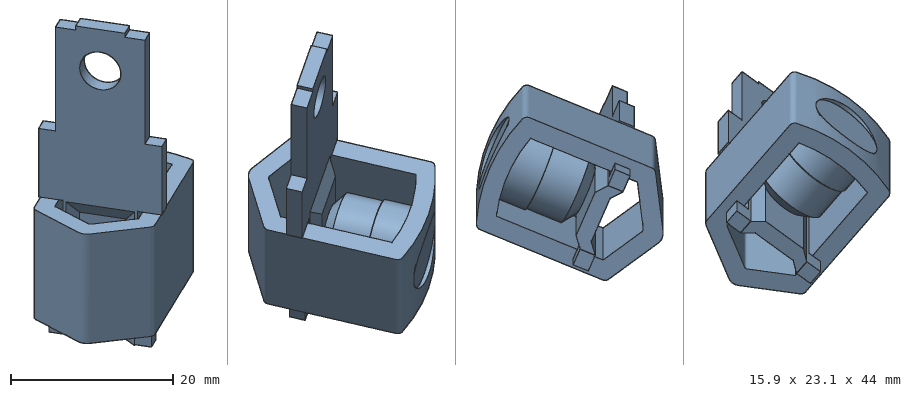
import cadquery as cq
import math


cage_width = 15.5
cage_bottom = 3.45
cage_top = 18.9
cage_front = -7.1
cage_back = 15.95
wall = 2.37
arch_radius = 21.5
v_angle = math.radians(30)
v_tip_radius = 1.6
v_inner_radius = 0.45
corner_radius = 0.8

plate_thickness = 2.02
shoulder_width = 15.87
shoulder_bottom = 19.05
shoulder_top = 28.7
tongue_width = 11.5
tongue_top = 43.4
tip_width = 6.35
plate_top = 43.95
neck_width = 9.6
ear_width = 13.2
ear_bottom = 0.15
ear_top = 3.2
hole_diameter = 5.28
hole_height = 38.12

press_depth = 1.15
press_mouth_width = 8.8
press_floor_width = 6.0
press_top_run = 1.85
groove_top = 18.9
bulge_top = 19.87

screw_radius = 4.8
screw_tip_radius = 3.08
screw_cone_length = 1.3
collar_radius = 5.0
collar_front = 9.25
screw_height = (cage_bottom + cage_top) / 2


def ring_outline(inset, tip_radius):
    """Cage cross-section, moved inward by inset with a rounded V tip, as a prism."""
    half_width = cage_width / 2 - inset
    radius = arch_radius - inset
    arch_crown = cage_back - inset
    arch_end = arch_crown - radius + math.sqrt(radius**2 - half_width**2)
    sharp_tip = cage_front - v_tip_radius * (1 / math.cos(v_angle) - 1)
    v_tip = sharp_tip + inset / math.cos(v_angle)
    v_end = v_tip + half_width * math.tan(v_angle)
    prism = (
        cq.Workplane("XY", origin=(0, 0, cage_bottom))
        .moveTo(0, v_tip)
        .lineTo(half_width, v_end)
        .lineTo(half_width, arch_end)
        .threePointArc((0, arch_crown), (-half_width, arch_end))
        .lineTo(-half_width, v_end)
        .close()
        .extrude(cage_top - cage_bottom)
    )
    return prism.edges("|Z and <Y").fillet(tip_radius)


def make_cage():
    outer = ring_outline(0, v_tip_radius)
    side_corners = outer.faces("<X or >X").edges("|Z")
    return side_corners.fillet(corner_radius).cut(ring_outline(wall, v_inner_radius))


def plate_strip(width, bottom, top):
    return cq.Workplane("XY").box(
        width, plate_thickness, top - bottom, centered=(True, False, False)
    ).translate((0, 0, bottom))


def press_shape(start_y, top):
    """Trapezoidal channel, narrowing toward +Y, with a sloped upper end."""
    end_y = start_y + press_depth
    channel = (
        cq.Workplane("XY")
        .moveTo(-press_mouth_width / 2, start_y)
        .lineTo(press_mouth_width / 2, start_y)
        .lineTo(press_floor_width / 2, end_y)
        .lineTo(-press_floor_width / 2, end_y)
        .close()
        .extrude(top)
    )
    side_profile = (
        cq.Workplane("YZ")
        .moveTo(start_y, 0)
        .lineTo(end_y, 0)
        .lineTo(end_y, top - press_top_run)
        .lineTo(start_y, top)
        .close()
        .extrude(press_mouth_width / 2, both=True)
    )
    return channel.intersect(side_profile)


def make_plate():
    plate = plate_strip(tip_width, shoulder_top, plate_top)
    plate = plate.union(plate_strip(tongue_width, shoulder_top, tongue_top))
    plate = plate.union(plate_strip(shoulder_width, shoulder_bottom, shoulder_top))
    plate = plate.union(plate_strip(neck_width, ear_bottom, shoulder_bottom))
    plate = plate.union(plate_strip(press_mouth_width, 0, ear_bottom))
    plate = plate.union(plate_strip(ear_width, ear_bottom, ear_top))
    plate = plate.union(press_shape(plate_thickness, bulge_top))
    plate = plate.cut(press_shape(0, groove_top))
    hole = (
        cq.Workplane("XZ")
        .center(0, hole_height)
        .circle(hole_diameter / 2)
        .extrude(-plate_thickness)
    )
    return plate.cut(hole)


screw_tip = plate_thickness + press_depth
screw_end = cage_back - arch_radius + math.sqrt(arch_radius**2 - screw_radius**2)


def cylinder_along_y(radius, start_y, end_y):
    return (
        cq.Workplane("XZ", origin=(0, start_y, screw_height))
        .circle(radius)
        .extrude(start_y - end_y)
    )


def make_screw():
    cone_end = screw_tip + screw_cone_length
    cone = (
        cq.Workplane("XY")
        .moveTo(0, screw_tip)
        .lineTo(screw_tip_radius, screw_tip)
        .lineTo(screw_radius, cone_end)
        .lineTo(0, cone_end)
        .close()
        .revolve(360, (0, 0, 0), (0, 1, 0))
        .translate((0, 0, screw_height))
    )
    return cone.union(cylinder_along_y(screw_radius, cone_end, screw_end))


collar = cylinder_along_y(collar_radius, collar_front, cage_back - wall)
screw_opening = cylinder_along_y(screw_radius, collar_front, cage_back)

cage = make_cage().union(collar).cut(screw_opening)
result = cage.union(make_screw()).union(make_plate())